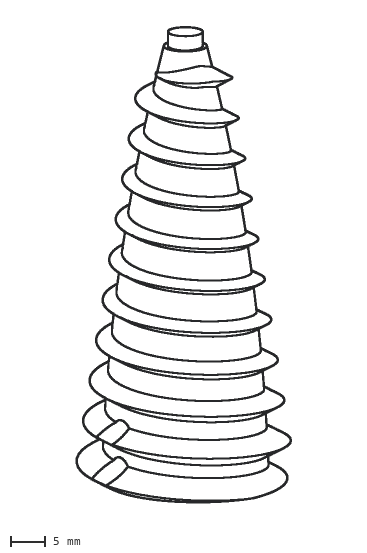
import cadquery as cq
import math

total_height = 66.0
tip_diameter = 5.0
tip_height = 2.1
core_base_radius = 12.0
core_mid_radius = 9.3
core_top_radius = 3.1
core_top = total_height - tip_height
core_mid = core_top / 2

turns = 10
thread_top = 60.0
pitch = thread_top / turns
crest_base_radius = 16.0
crest_top_radius = 6.6
thread_depth = 4.6
half_width = thread_depth * math.tan(math.radians(30))
taper = (crest_base_radius - crest_top_radius) / thread_top
lead_in_turns = 1
runout_radius = 5.15

hole_diameter = 4.0
hole_heights = (2.6, 8.05)
bore_diameter = 4.1
bore_depth = 10.55


def make_core():
    """Bullet-shaped core with a cylindrical tip."""
    tip_radius = tip_diameter / 2
    return (
        cq.Workplane("XZ")
        .lineTo(core_base_radius, 0)
        .threePointArc((core_mid_radius, core_mid), (core_top_radius, core_top))
        .lineTo(tip_radius, core_top)
        .lineTo(tip_radius, total_height)
        .lineTo(0, total_height)
        .close()
        .revolve(360, (0, 0, 0), (0, 1, 0))
    )


def section_points(crest_radius, z):
    """Crest, upper root and lower root of the V section as (radius, height)."""
    root_radius = crest_radius - thread_depth
    return [(crest_radius, z), (root_radius, z + half_width), (root_radius, z - half_width)]


def make_helical_thread():
    """Solid bounded by ruled faces between three parallel conical helices."""
    bottom = -lead_in_turns * pitch
    bottom_radius = crest_base_radius - taper * bottom
    slant = math.hypot(1, taper)
    slant_length = (thread_top - bottom) * slant
    taper_angle = -math.degrees(math.atan(taper))
    starts = section_points(bottom_radius, bottom)
    ends = section_points(crest_top_radius, thread_top)
    helices = [
        cq.Wire.makeHelix(
            pitch * slant, slant_length, radius, cq.Vector(0, 0, z), angle=taper_angle, lefthand=True
        )
        for radius, z in starts
    ]
    faces = []
    for i, helix in enumerate(helices):
        faces.append(cq.Face.makeRuledSurface(helix, helices[(i + 1) % len(helices)]))
    for corners in (starts, ends):
        outline = cq.Wire.makePolygon([cq.Vector(r, 0, z) for r, z in corners], close=True)
        faces.append(cq.Face.makeFromWires(outline))
    thread = cq.Solid.makeSolid(cq.Shell.makeShell(faces))
    return cq.Workplane(thread)


def make_runout():
    """Level half turn on an offset axis that sinks the thread end into the core."""
    axis_x = crest_top_radius - runout_radius
    return (
        cq.Workplane("XZ")
        .polyline(section_points(crest_top_radius, thread_top))
        .close()
        .revolve(180, (axis_x, 0.65, 0), (axis_x, 0, 0))
    )


def cut_passages(body):
    """Cut the blind bore from the base, then the radial holes that meet it from -Y."""
    bore = cq.Workplane("XY").circle(bore_diameter / 2).extrude(bore_depth)
    body = body.cut(bore)
    for height in hole_heights:
        hole = (
            cq.Workplane("XZ")
            .center(0, height)
            .circle(hole_diameter / 2)
            .extrude(2 * crest_base_radius)
        )
        body = body.cut(hole)
    return body


trim_size = 4 * crest_base_radius
below_base = cq.Workplane("XY").box(trim_size, trim_size, trim_size, centered=(True, True, False))
below_base = below_base.translate((0, 0, -trim_size))

thread = make_helical_thread().cut(below_base)
body = make_core().union(thread).union(make_runout())
result = cut_passages(body)